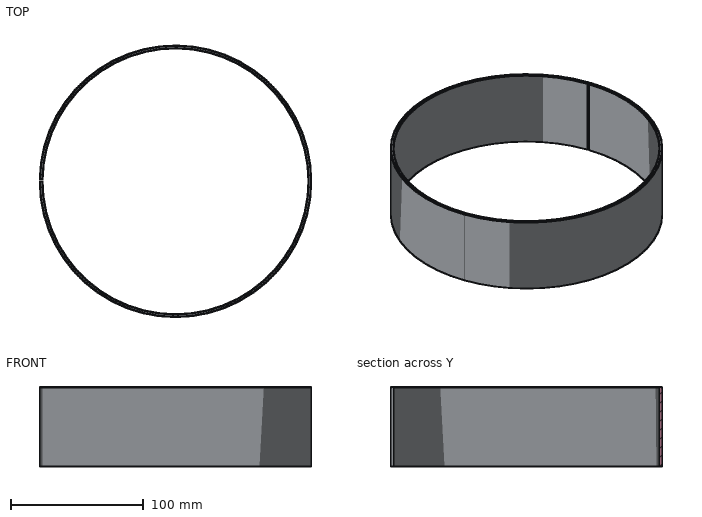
import cadquery as cq

outer_diameter = 205.0
height = 60.0
wall = 2.5
gap_width = 1.6
edge_chamfer = 0.5

outer_radius = outer_diameter / 2
inner_radius = outer_radius - wall


def ring():
    """Thin cylindrical band standing on the XY plane, with all four rim edges chamfered."""
    band = cq.Workplane("XY").circle(outer_radius).circle(inner_radius).extrude(height)
    return band.faces("<Z or >Z").edges().chamfer(edge_chamfer)


def split_gap():
    """Full-height cutter through the wall on the -X side, with one face on the XZ plane."""
    cutter_depth = 4 * wall
    return (
        cq.Workplane("XY")
        .center(-outer_radius, gap_width / 2)
        .rect(cutter_depth, gap_width)
        .extrude(height)
    )


result = ring().cut(split_gap())